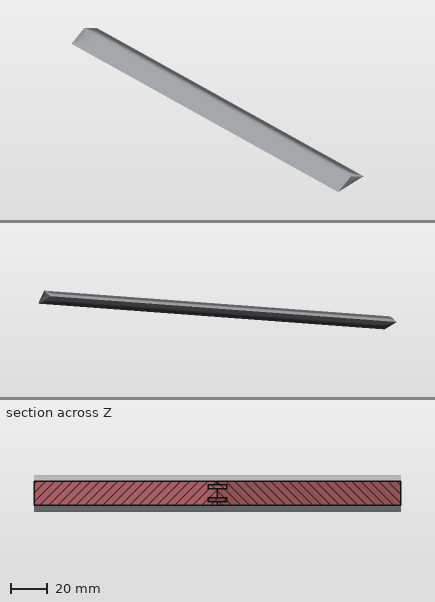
import cadquery as cq

total_length = 200.0
base_width = 20.2
ridge_height = 5.2

segment_count = 2
segment_length = total_length / segment_count

dowel_radius = 1.0
dowel_length = 10.0
dowel_offset = 3.5
dowel_height = 1.8


def strip_segment(start_x):
    """Triangular prism along X, resting on Z = 0 with its ridge over Y = 0."""
    half_width = base_width / 2
    return (
        cq.Workplane("YZ", origin=(start_x, 0, 0))
        .polyline([(-half_width, 0), (half_width, 0), (0, ridge_height)])
        .close()
        .extrude(segment_length)
    )


def joint_dowel(center_y):
    """Round dowel along X, half of it in each segment."""
    return (
        cq.Workplane("YZ", origin=(-dowel_length / 2, center_y, dowel_height))
        .circle(dowel_radius)
        .extrude(dowel_length)
    )


dowels = [joint_dowel(side * dowel_offset) for side in (-1, 1)]

strip_segments = []
for index in range(segment_count):
    segment = strip_segment(-total_length / 2 + index * segment_length)
    for dowel in dowels:
        segment = segment.cut(dowel)
    strip_segments.append(segment)

result = cq.Compound.makeCompound([body.val() for body in strip_segments + dowels])